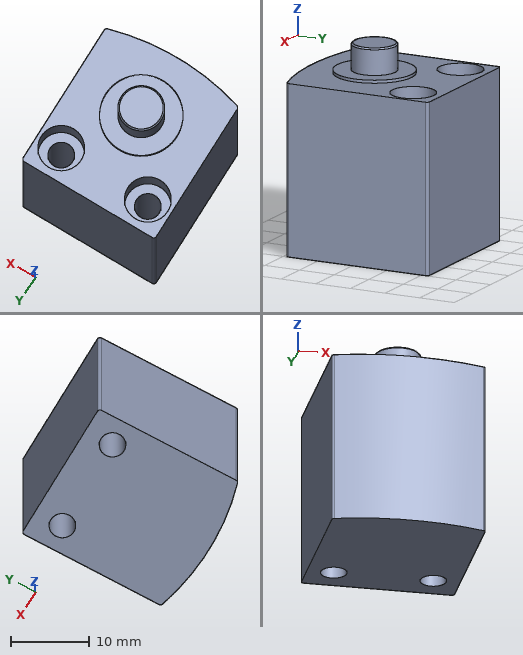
import cadquery as cq
import math

housing_width = 20.0
housing_depth = 22.0
housing_height = 23.0
bulge_radius = 34.0
corner_radius = 0.4

rod_diameter = 6.0
rod_chamfer = 0.2
rod_from_back = 13.0
collar_diameter = 10.7
collar_height = 0.4
overall_height = 27.0

mount_hole_diameter = 3.4
counterbore_diameter = 6.0
counterbore_depth = 3.5
mount_hole_spacing = 13.0
mount_holes_from_back = 4.0

half_width = housing_width / 2
back_y = rod_from_back
crest_y = back_y - housing_depth
bulge_rise = bulge_radius - math.sqrt(bulge_radius**2 - half_width**2)
front_corner_y = crest_y + bulge_rise
collar_top = housing_height + collar_height
rod_length = overall_height - collar_top
mount_hole_y = back_y - mount_holes_from_back
mount_hole_points = [(side * mount_hole_spacing / 2, mount_hole_y) for side in (-1, 1)]


def make_block():
    """Extrude the bulged outline and round its vertical edges."""
    return (
        cq.Workplane("XY")
        .moveTo(half_width, front_corner_y)
        .lineTo(half_width, back_y)
        .lineTo(-half_width, back_y)
        .lineTo(-half_width, front_corner_y)
        .threePointArc((0, crest_y), (half_width, front_corner_y))
        .close()
        .extrude(housing_height)
        .edges("|Z")
        .fillet(corner_radius)
    )


def make_collar():
    """Low round step on the top face, around the rod axis."""
    return (
        cq.Workplane("XY", origin=(0, 0, housing_height))
        .circle(collar_diameter / 2)
        .extrude(collar_height)
    )


def make_housing():
    """Block with its mounting holes and the collar in one piece."""
    drilled_block = (
        make_block()
        .faces(">Z")
        .workplane(origin=(0, 0, housing_height))
        .pushPoints(mount_hole_points)
        .cboreHole(mount_hole_diameter, counterbore_diameter, counterbore_depth)
    )
    return drilled_block.union(make_collar())


def make_rod():
    """Round rod standing on the collar, with a chamfered tip."""
    return (
        cq.Workplane("XY", origin=(0, 0, collar_top))
        .circle(rod_diameter / 2)
        .extrude(rod_length)
        .faces(">Z")
        .chamfer(rod_chamfer)
    )


housing = make_housing()
rod = make_rod()

result = cq.Compound.makeCompound([housing.val(), rod.val()])